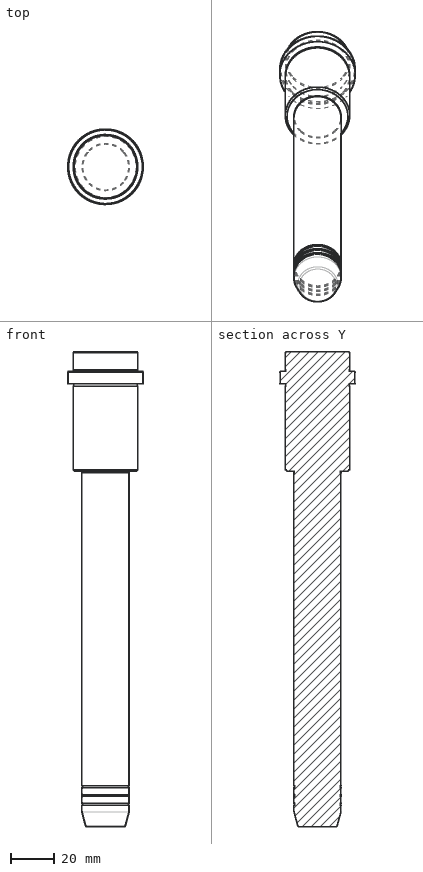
import math

import cadquery as cq

total_length = 220.0
head_length = 55.5
collar_top_depth = 9.0
collar_thickness = 6.0
tip_length = 7.0

head_bottom = total_length - head_length
collar_top = total_length - collar_top_depth
collar_bottom = collar_top - collar_thickness

collar_diameter = 35.0
head_diameter = 30.0
shank_diameter = 22.0

collar_chamfer = 0.5
head_bottom_chamfer = 0.9
head_top_chamfer = 0.5
tip_fillet = 0.9
tip_half_angle = 15.0

upper_relief_width = 0.7
lower_relief_width = 1.0
shank_relief_width = 0.7
relief_depth = 0.2

groove_count = 3
groove_pitch = 4.0
groove_width = 0.9
groove_depth = 0.5
lowest_groove_center = 10.5


def cylinder(diameter, bottom, height):
    """Solid cylinder on the Z axis with its lower face at Z = bottom."""
    return cq.Workplane("XY").workplane(offset=bottom).circle(diameter / 2).extrude(height)


def make_shank():
    """Shank with a tapered tip whose end edge is rounded."""
    taper_inset = tip_length * math.tan(math.radians(tip_half_angle))
    shank_radius = shank_diameter / 2
    shank = (
        cq.Workplane("XZ")
        .moveTo(0, 0)
        .lineTo(shank_radius - taper_inset, 0)
        .lineTo(shank_radius, tip_length)
        .lineTo(shank_radius, head_bottom)
        .lineTo(0, head_bottom)
        .close()
        .revolve(360, (0, 0), (0, 1))
    )
    return shank.faces("<Z").edges().fillet(tip_fillet)


def make_head():
    """Cylindrical head with a chamfered rim at each end."""
    head = cylinder(head_diameter, head_bottom, head_length)
    head = head.faces("<Z").edges().chamfer(head_bottom_chamfer)
    return head.faces(">Z").edges().chamfer(head_top_chamfer)


def make_collar():
    """Locating collar around the head, chamfered on its upper edge."""
    collar = cylinder(collar_diameter, collar_bottom, collar_thickness)
    return collar.faces(">Z").edges().chamfer(collar_chamfer)


def cut_ring_groove(body, diameter, bottom, width, depth):
    """Cut a rectangular groove around a cylindrical stretch of the given diameter."""
    ring = cylinder(diameter + 2 * depth, bottom, width)
    ring = ring.cut(cylinder(diameter - 2 * depth, bottom, width))
    return body.cut(ring)


result = make_shank().union(make_head()).union(make_collar())

shoulder_reliefs = (
    (head_diameter, collar_top, upper_relief_width),
    (head_diameter, collar_bottom - lower_relief_width, lower_relief_width),
    (shank_diameter, head_bottom - shank_relief_width, shank_relief_width),
)
for diameter, bottom, width in shoulder_reliefs:
    result = cut_ring_groove(result, diameter, bottom, width, relief_depth)

for index in range(groove_count):
    groove_bottom = lowest_groove_center + index * groove_pitch - groove_width / 2
    result = cut_ring_groove(result, shank_diameter, groove_bottom, groove_width, groove_depth)